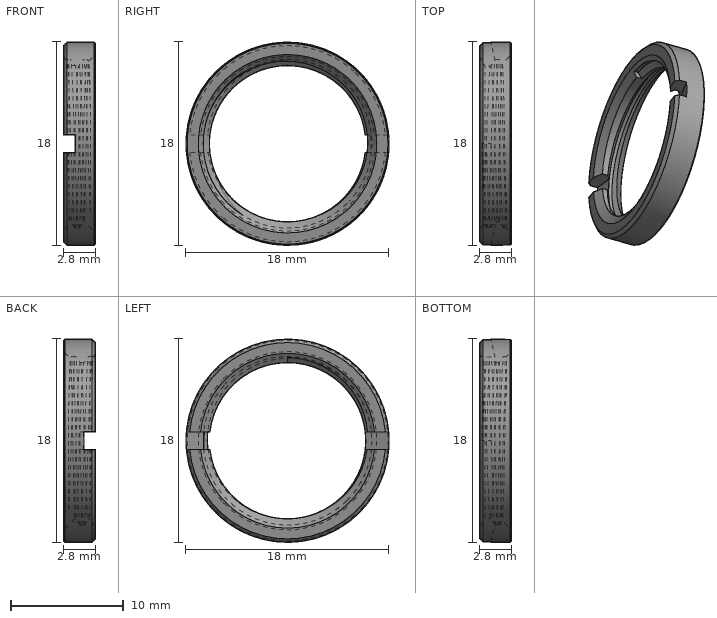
import cadquery as cq
import math

outer_radius = 9.0
width = 2.8
minor_radius = 6.91
front_chamfer = 0.3
back_chamfer = 0.1

front_sink_radius = 7.74
front_sink_angle = 60.0
front_sink_depth = (front_sink_radius - minor_radius) / math.tan(math.radians(front_sink_angle))
back_sink_radius = 7.9
back_sink_angle = 45.0
back_sink_depth = (back_sink_radius - minor_radius) / math.tan(math.radians(back_sink_angle))

slot_depth = 1.0
slot_width = 1.58
slot_floor_angle = 12.0

flank_angle = 37.0
pitch = 1.5
major_radius = 7.47
groove_start = 0.43
groove_root_width = 0.32
groove_turns = 2.0
bore_overlap = 0.07
cutter_inner_radius = minor_radius - bore_overlap


def make_ring():
    section = [
        (0, front_sink_radius),
        (0, outer_radius - front_chamfer),
        (front_chamfer, outer_radius),
        (width - back_chamfer, outer_radius),
        (width, outer_radius - back_chamfer),
        (width, back_sink_radius),
        (width - back_sink_depth, minor_radius),
        (front_sink_depth, minor_radius),
    ]
    return cq.Workplane("XY").polyline(section).close().revolve(360, (0, 0, 0), (1, 0, 0))


def make_slots():
    centre_depth = slot_depth + outer_radius * math.tan(math.radians(slot_floor_angle))
    section = [
        (-slot_depth, -outer_radius),
        (slot_depth, -outer_radius),
        (centre_depth, 0),
        (slot_depth, outer_radius),
        (-slot_depth, outer_radius),
    ]
    return cq.Workplane("XY").polyline(section).close().extrude(slot_width / 2, both=True)


def make_thread_cutter():
    root_half = groove_root_width / 2
    mouth_half = root_half + (major_radius - cutter_inner_radius) * math.tan(math.radians(flank_angle))
    section = [
        (cutter_inner_radius, groove_start - mouth_half),
        (major_radius, groove_start - root_half),
        (major_radius, groove_start + root_half),
        (cutter_inner_radius, groove_start + mouth_half),
    ]
    path = cq.Workplane(cq.Wire.makeHelix(pitch, pitch * groove_turns, minor_radius))
    cutter = cq.Workplane("XZ").polyline(section).close().sweep(path, isFrenet=True)
    return cutter.rotate((0, 0, 0), (1, 0, 1), 180)


result = make_ring().cut(make_thread_cutter()).cut(make_slots())